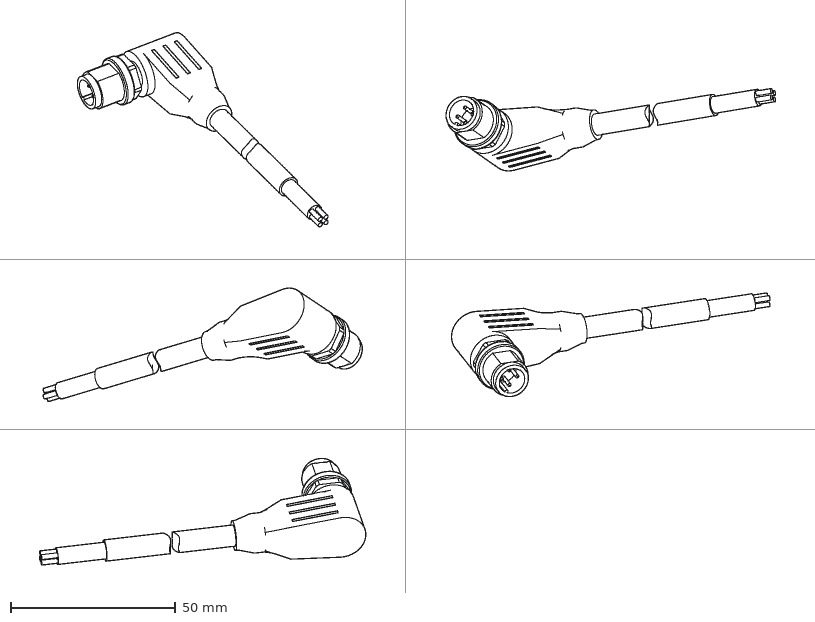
import cadquery as cq
import math


TOTAL_LENGTH = 99.6

HOUSING_RADIUS = 7.4
HOUSING_TOP_Y = 17.5
BLOCK_DEPTH = 14.9
BLOCK_END_X = 15.9
BLOCK_END_HEIGHT = 11.9

GROOVE_COUNT = 3
GROOVE_PITCH = 4.1
GROOVE_WIDTH = 1.0
GROOVE_END_X = 14.8
GROOVE_DEPTH = 0.1

RELIEF_RADIUS = 6.1
RELIEF_START_X = 23.4
RELIEF_CONE_X = 26.4
RELIEF_RIM_X = 31.3
RELIEF_END_X = 32.2
RELIEF_RIM_RADIUS = 4.6
CORNER_ANGLE = 34.0

NECK_RADIUS = 8.5 / 2
HEX_START = 2.2
HEX_ACROSS_FLATS = 12.9
HEX_CORNER_DIAMETER = 14.3
HEX_TURN = 30.0
RING_START = 4.6
RING_END = 7.6
RING_RADIUS = 15.0 / 2
RING_CHAMFER = 0.4
BARREL_END = 15.2
BARREL_RADIUS = 6.0
TIP_END = 17.4
TIP_RADIUS = 5.3
BORE_RADIUS = 4.1
BORE_DEPTH = 8.0

PIN_COUNT = 4
PIN_CIRCLE_RADIUS = 2.5
PIN_RADIUS = 0.5
PIN_LENGTH = 6.0
PIN_CHAMFER = 0.4
KEY_RADIUS = 0.5
KEY_CIRCLE_RADIUS = 3.8
KEY_ANGLE = 242.0

CABLE_Y = HOUSING_TOP_Y - BLOCK_DEPTH / 2
CABLE_RADIUS = 3.3
BREAK_X = 50.0
BREAK_GAP = 2.8
BREAK_SHIFTS = (0, -0.6, 0.2, 0.9, 0.3)
CABLE_END_X = TOTAL_LENGTH - RING_RADIUS
WIRE_LENGTH = 5.0
SHEATH_LENGTH = 14.9
SHEATH_RADIUS = 2.6
WIRE_RADIUS = 0.75
WIRE_OFFSET = 2.1 / 2


def plug_rod(radius, start, end, x=0, z=0):
    """Cylinder along -Y between two distances from the housing face."""
    return cq.Workplane("XZ", origin=(x, -start, z)).circle(radius).extrude(end - start)


def cable_rod(radius, start_x, end_x, y_offset=0, z=0):
    """Cylinder along +X on, or beside, the cable axis."""
    return cq.Workplane("YZ", origin=(start_x, CABLE_Y + y_offset, z)).circle(radius).extrude(end_x - start_x)


def tangent_point():
    """Point on the round head where the tangent to the upper block corner touches."""
    half_height = BLOCK_END_HEIGHT / 2
    distance = math.hypot(BLOCK_END_X, half_height)
    angle = math.atan2(half_height, BLOCK_END_X) + math.acos(HOUSING_RADIUS / distance)
    return HOUSING_RADIUS * math.cos(angle), HOUSING_RADIUS * math.sin(angle)


def make_block():
    """Tapered block whose narrow end faces the cable."""
    tangent_x, tangent_z = tangent_point()
    half_height = BLOCK_END_HEIGHT / 2
    return (
        cq.Workplane("XZ", origin=(0, HOUSING_TOP_Y, 0))
        .moveTo(tangent_x, tangent_z)
        .lineTo(BLOCK_END_X, half_height)
        .lineTo(BLOCK_END_X, -half_height)
        .lineTo(tangent_x, -tangent_z)
        .threePointArc((-HOUSING_RADIUS, 0), (tangent_x, tangent_z))
        .close()
        .extrude(BLOCK_DEPTH)
    )


def make_grooves():
    """Shallow cutters that follow the upper and lower tapered faces."""
    start_x, start_z = tangent_point()
    slope = (BLOCK_END_HEIGHT / 2 - start_z) / (BLOCK_END_X - start_x)
    end_z = start_z + slope * (GROOVE_END_X - start_x)
    grooves = cq.Workplane()
    for index in range(GROOVE_COUNT):
        y = CABLE_Y + (index - (GROOVE_COUNT - 1) / 2) * GROOVE_PITCH
        for side in (1, -1):
            groove = (
                cq.Workplane("XZ", origin=(0, y, 0))
                .moveTo(start_x, side * (start_z - GROOVE_DEPTH))
                .lineTo(GROOVE_END_X, side * (end_z - GROOVE_DEPTH))
                .lineTo(GROOVE_END_X, side * HOUSING_RADIUS)
                .lineTo(start_x, side * HOUSING_RADIUS)
                .close()
                .extrude(GROOVE_WIDTH / 2, both=True)
            )
            grooves = grooves.add(groove)
    return grooves


def make_transition():
    """Ruled loft from the rectangular block end to the round strain relief."""
    half_depth = BLOCK_DEPTH / 2
    half_height = BLOCK_END_HEIGHT / 2
    corners = [
        cq.Vector(BLOCK_END_X, CABLE_Y + y * half_depth, z * half_height)
        for y, z in ((1, 1), (-1, 1), (-1, -1), (1, -1))
    ]
    rectangle = cq.Wire.makePolygon(corners, close=True)

    def rim_point(degrees):
        angle = math.radians(degrees)
        return cq.Vector(
            RELIEF_START_X, CABLE_Y + RELIEF_RADIUS * math.cos(angle), RELIEF_RADIUS * math.sin(angle)
        )

    bounds = [CORNER_ANGLE, 180 - CORNER_ANGLE, 180 + CORNER_ANGLE, 360 - CORNER_ANGLE, 360 + CORNER_ANGLE]
    arcs = [
        cq.Edge.makeThreePointArc(rim_point(start), rim_point((start + end) / 2), rim_point(end))
        for start, end in zip(bounds, bounds[1:])
    ]
    return cq.Workplane(cq.Solid.makeLoft([rectangle, cq.Wire.assembleEdges(arcs)], True))


def make_relief():
    """Cylinder, cone and short rim around the cable axis."""
    return (
        cq.Workplane("XY", origin=(0, CABLE_Y, 0))
        .moveTo(RELIEF_START_X, 0)
        .lineTo(RELIEF_START_X, RELIEF_RADIUS)
        .lineTo(RELIEF_CONE_X, RELIEF_RADIUS)
        .lineTo(RELIEF_RIM_X, RELIEF_RIM_RADIUS)
        .lineTo(RELIEF_END_X, RELIEF_RIM_RADIUS)
        .lineTo(RELIEF_END_X, 0)
        .close()
        .revolve(360, (0, 0, 0), (1, 0, 0))
    )


def make_hexagon():
    """Hexagon with its corners turned down to a circle."""
    hexagon = (
        cq.Workplane("XZ", origin=(0, -HEX_START, 0))
        .polygon(6, HEX_ACROSS_FLATS, circumscribed=True)
        .extrude(RING_START - HEX_START)
        .rotate((0, 0, 0), (0, 1, 0), HEX_TURN)
    )
    return hexagon.intersect(plug_rod(HEX_CORNER_DIAMETER / 2, HEX_START, RING_START))


def make_barrel():
    """Barrel with an upper and a lower flat level with the tip."""
    barrel = plug_rod(BARREL_RADIUS, RING_END, BARREL_END)
    flats = cq.Workplane().box(2 * BARREL_RADIUS, 2 * BARREL_END, 2 * TIP_RADIUS)
    return barrel.intersect(flats)


def make_pins():
    """Contact pins standing on the bore floor, with bevelled tips."""
    pins = cq.Workplane()
    floor = TIP_END - BORE_DEPTH
    for index in range(PIN_COUNT):
        angle = 2 * math.pi * index / PIN_COUNT
        x = PIN_CIRCLE_RADIUS * math.cos(angle)
        z = PIN_CIRCLE_RADIUS * math.sin(angle)
        pin = plug_rod(PIN_RADIUS, floor, floor + PIN_LENGTH, x, z)
        pins = pins.add(pin.faces("<Y").chamfer(PIN_CHAMFER))
    return pins


def make_bore():
    """Blind bore with a round coding key left standing along its wall."""
    angle = math.radians(KEY_ANGLE)
    key_x = KEY_CIRCLE_RADIUS * math.cos(angle)
    key_z = KEY_CIRCLE_RADIUS * math.sin(angle)
    floor = TIP_END - BORE_DEPTH
    return plug_rod(BORE_RADIUS, floor, TIP_END).cut(plug_rod(KEY_RADIUS, floor, TIP_END, key_x, key_z))


def break_wall(start_x):
    """Block beyond a wavy break, reaching to the end of the cable."""
    step = 2 * CABLE_RADIUS / (len(BREAK_SHIFTS) - 1)
    wave = [
        (start_x + shift, CABLE_Y + CABLE_RADIUS - index * step)
        for index, shift in enumerate(BREAK_SHIFTS)
    ]
    return (
        cq.Workplane("XY")
        .moveTo(*wave[0])
        .spline(wave[1:], includeCurrent=True)
        .lineTo(CABLE_END_X, CABLE_Y - CABLE_RADIUS)
        .lineTo(CABLE_END_X, CABLE_Y + CABLE_RADIUS)
        .close()
        .extrude(CABLE_RADIUS, both=True)
    )


def make_connector():
    """Angled plug with the first length of cable."""
    body = plug_rod(HOUSING_RADIUS, -HOUSING_TOP_Y, 0).union(make_block())
    body = body.cut(make_grooves())
    body = body.union(make_transition()).union(make_relief())
    body = body.union(plug_rod(NECK_RADIUS, 0, HEX_START)).union(make_hexagon())
    ring = plug_rod(RING_RADIUS, RING_START, RING_END).faces("<Y or >Y").chamfer(RING_CHAMFER)
    body = body.union(ring).union(make_barrel())
    body = body.union(plug_rod(TIP_RADIUS, BARREL_END, TIP_END))
    body = body.cut(make_bore()).union(make_pins())
    stub = cable_rod(CABLE_RADIUS, RELIEF_END_X, CABLE_END_X).cut(break_wall(BREAK_X))
    return body.union(stub)


def make_cable_end():
    """Cable beyond the break, stripped back to its inner sheath and four wires."""
    wire_x = CABLE_END_X - WIRE_LENGTH
    sheath_x = wire_x - SHEATH_LENGTH
    jacket = cable_rod(CABLE_RADIUS, RELIEF_END_X, sheath_x)
    cable_end = jacket.intersect(break_wall(BREAK_X + BREAK_GAP))
    cable_end = cable_end.union(cable_rod(SHEATH_RADIUS, sheath_x, wire_x))
    for y_side in (1, -1):
        for z_side in (1, -1):
            wire = cable_rod(WIRE_RADIUS, wire_x, CABLE_END_X, y_side * WIRE_OFFSET, z_side * WIRE_OFFSET)
            cable_end = cable_end.union(wire)
    return cable_end


connector = make_connector()
cable_end = make_cable_end()

result = cq.Compound.makeCompound([connector.val(), cable_end.val()])